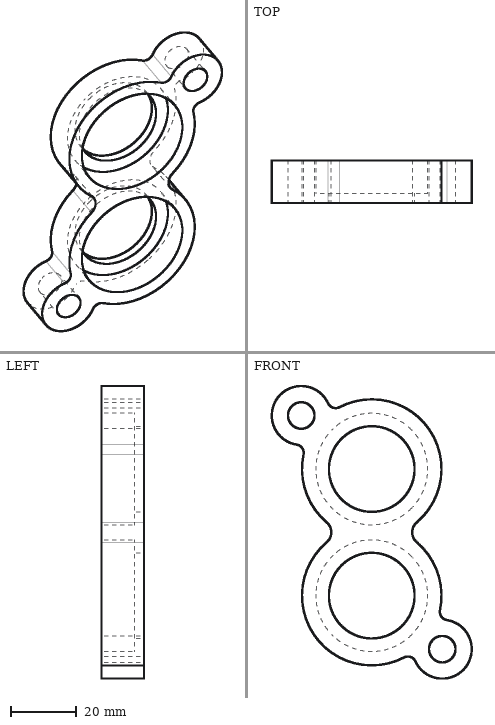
import cadquery as cq

thickness = 13.0
ring_diameter = 42.5
ring_spacing = 38.5

lip_bore_diameter = 26.0
seat_diameter = 34.0
lip_thickness = 3.0

ear_diameter = 18.0
ear_hole_diameter = 8.0
overall_width = 60.89
overall_height = 89.07

waist_fillet = 4.0
ear_fillet = 2.5

front_y = -thickness / 2
seat_depth = thickness - lip_thickness
ear_x = (overall_width - ear_diameter) / 2
ear_z = (overall_height - ear_diameter) / 2
ring_centres = [(0, ring_spacing / 2), (0, -ring_spacing / 2)]
ear_centres = [(-ear_x, ear_z), (ear_x, -ear_z)]


def cylinders(centres, diameter, start_y, length):
    """Cylinders at the given (x, z) centres, running from start_y toward +Y."""
    plane = cq.Workplane("XZ", origin=(0, start_y, 0))
    return plane.pushPoints(centres).circle(diameter / 2).extrude(-length)


def corner_edges_near(x, z, half_size):
    """Selects edges whose midpoints lie in a square of the XZ plane around (x, z)."""
    return cq.selectors.BoxSelector(
        (x - half_size, -thickness, z - half_size),
        (x + half_size, thickness, z + half_size),
    )


def blended_body():
    """Solid rings and ears, joined and filleted where their outlines meet."""
    body = cylinders(ring_centres, ring_diameter, front_y, thickness)
    waist_edges = corner_edges_near(0, 0, ring_spacing / 2 - waist_fillet)
    body = body.edges("|Y").edges(waist_edges).fillet(waist_fillet)
    body = body.union(cylinders(ear_centres, ear_diameter, front_y, thickness))
    for x, z in ear_centres:
        ear_edges = corner_edges_near(x, z, ear_diameter / 2)
        body = body.edges("|Y").edges(ear_edges).fillet(ear_fillet)
    return body


def ring_bores():
    """Through bores with the wider seats open to the +Y face."""
    lips = cylinders(ring_centres, lip_bore_diameter, front_y, thickness)
    seats = cylinders(ring_centres, seat_diameter, front_y + lip_thickness, seat_depth)
    return lips.union(seats)


def ear_holes():
    """Through bolt holes, one in each ear."""
    return cylinders(ear_centres, ear_hole_diameter, front_y, thickness)


result = blended_body().cut(ring_bores()).cut(ear_holes())